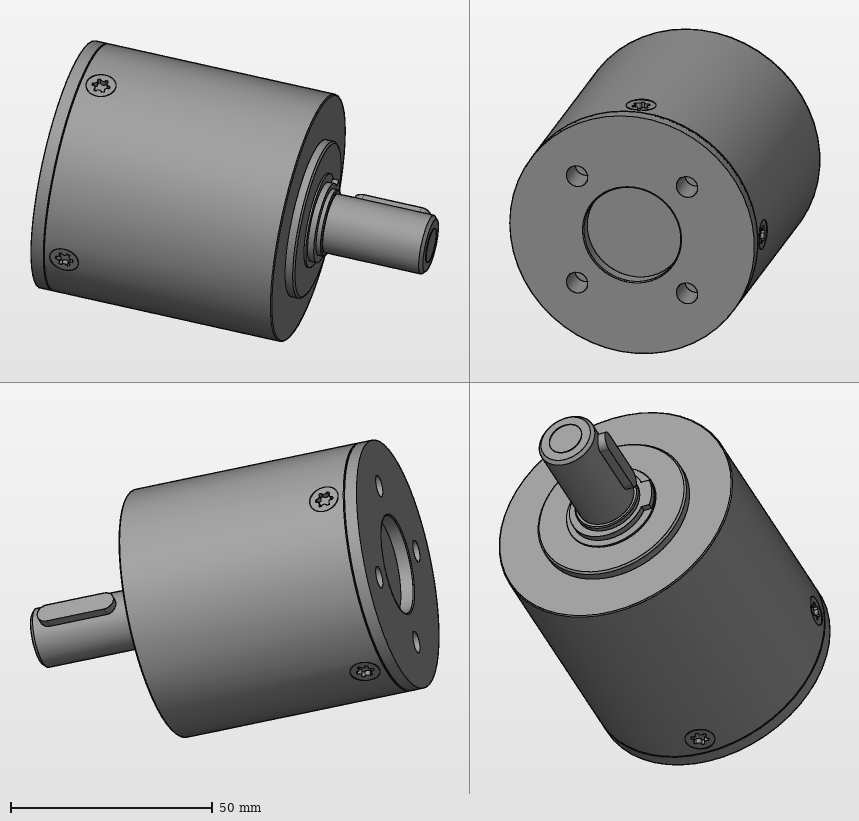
import cadquery as cq
import math

drum_diameter = 63.0
drum_radius = drum_diameter / 2
plate_length = 3.2
drum_end = 62.6
drum_chamfer = 0.3
pilot_radius = 20.0
pilot_end = 65.0
pilot_chamfer = 0.5
disc_radius = 12.0
disc_end = 65.5

collar_radius = 8.5
collar_end = 68.5
collar_chamfer = 0.3
shaft_diameter = 15.0
shaft_radius = shaft_diameter / 2
shaft_end = 94.5
shaft_chamfer = 0.85
end_boss_radius = 4.3
end_boss_height = 0.2

ring_radius = 10.1
ring_offset = -0.4
ring_end = 67.1
lug_reach = 11.7
lug_width = 7.9

key_length = 20.0
key_width = 5.0
key_start = 71.5
key_top = 9.45
key_bottom = 4.5

bore_radius = 12.5
bore_depth = 3.5
bore_chamfer = 0.3
bolt_circle_radius = 20.0
bolt_hole_radius = 2.7
bolt_hole_depth = 8.0
bolt_count = 4
bolt_start_angle = 45

screw_x = 8.6
screw_diameter = 7.5
screw_radius = screw_diameter / 2
screw_recess = 0.24
screw_count = 4
lobe_count = 6
lobe_tip_diameter = 4.5
lobe_tip_radius = lobe_tip_diameter / 2
lobe_shoulder_diameter = 4.25
lobe_shoulder_radius = lobe_shoulder_diameter / 2
lobe_half_angle = 10
lobe_valley_diameter = 3.1
lobe_valley_radius = lobe_valley_diameter / 2
socket_depth = 1.4


def round_step(start, end, radius):
    """Solid cylinder about X between two stations."""
    return cq.Workplane("YZ", origin=(start, 0, 0)).circle(radius).extrude(end - start)


def make_housing():
    plate = round_step(0, plate_length, drum_radius)
    drum = round_step(plate_length, drum_end, drum_radius).faces("<X or >X").chamfer(drum_chamfer)
    pilot = round_step(drum_end, pilot_end, pilot_radius).faces(">X").chamfer(pilot_chamfer)
    disc = round_step(pilot_end, disc_end, disc_radius)
    return plate.union(drum).union(pilot).union(disc)


def make_shaft():
    collar = round_step(disc_end, collar_end, collar_radius).faces(">X").chamfer(collar_chamfer)
    journal_end = shaft_end - end_boss_height
    journal = round_step(collar_end, journal_end, shaft_radius).faces(">X").chamfer(shaft_chamfer)
    end_boss = round_step(journal_end, shaft_end, end_boss_radius)
    return collar.union(journal).union(end_boss)


def make_retaining_ring():
    thickness = ring_end - disc_end
    plane = cq.Workplane("YZ", origin=(disc_end, 0, 0))
    ring = plane.center(ring_offset, 0).circle(ring_radius).extrude(thickness)
    lug_outline = plane.center(lug_reach / 2, 0).rect(lug_reach, lug_width).extrude(thickness)
    lug = round_step(disc_end, ring_end, lug_reach).intersect(lug_outline)
    return ring.union(lug)


def make_key():
    return (
        cq.Workplane("XZ", origin=(key_start + key_length / 2, key_bottom, 0))
        .slot2D(key_length, key_width)
        .extrude(key_bottom - key_top)
    )


def make_plate_openings():
    bore = round_step(0, bore_depth, bore_radius)
    mouth = (
        cq.Workplane("YZ")
        .circle(bore_radius + bore_chamfer)
        .workplane(offset=bore_chamfer)
        .circle(bore_radius)
        .loft()
    )
    bolt_holes = (
        cq.Workplane("YZ")
        .polarArray(bolt_circle_radius, bolt_start_angle, 360, bolt_count)
        .circle(bolt_hole_radius)
        .extrude(bolt_hole_depth)
    )
    return bore.union(mouth).union(bolt_holes)


def polar(radius, degrees):
    angle = math.radians(degrees)
    return radius * math.cos(angle), radius * math.sin(angle)


def six_lobe_outline(plane):
    """Star outline: a rounded tip, then a rounded valley, for each lobe."""
    pitch = 360 / lobe_count
    outline = plane.moveTo(*polar(lobe_shoulder_radius, -lobe_half_angle))
    for lobe in range(lobe_count):
        tip = lobe * pitch
        outline = outline.threePointArc(
            polar(lobe_tip_radius, tip),
            polar(lobe_shoulder_radius, tip + lobe_half_angle),
        ).threePointArc(
            polar(lobe_valley_radius, tip + pitch / 2),
            polar(lobe_shoulder_radius, tip + pitch - lobe_half_angle),
        )
    return outline.close()


def make_screw_recess():
    """Flat seat and socket of the screw on the +Z side."""
    seat_plane = cq.Workplane("XY", origin=(screw_x, 0, drum_radius - screw_recess))
    seat = seat_plane.circle(screw_radius).extrude(2 * screw_recess)
    socket = six_lobe_outline(seat_plane).extrude(-socket_depth)
    return seat.union(socket)


result = make_housing().union(make_shaft()).union(make_retaining_ring()).union(make_key())
result = result.cut(make_plate_openings())
for screw in range(screw_count):
    turn = screw * 360 / screw_count
    result = result.cut(make_screw_recess().rotate((0, 0, 0), (1, 0, 0), turn))